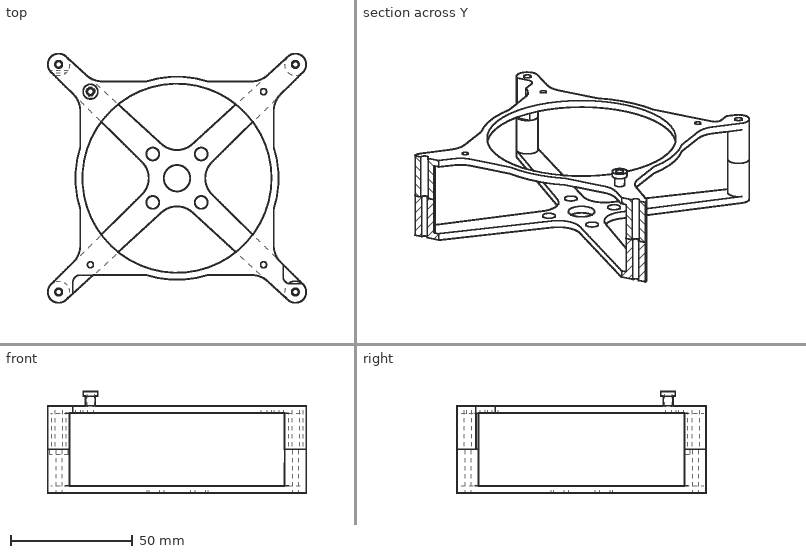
import cadquery as cq
import math

frame_height = 36.0
split_height = frame_height / 2
plate_thickness = 3.0
upper_plate_bottom = frame_height - plate_thickness
post_diameter = 9.0
post_x = 48.89
post_y = 46.99

post_clearance_diameter = 3.1
post_thread_diameter = 2.5

arm_width_at_hub_hole = 11.0
arm_width_at_post = post_diameter

hub_bore_diameter = 10.82
hub_hole_diameter = 5.2
hub_hole_offset = 10.0
hub_fillet_radius = 9.5

fan_size = 80.0
ring_bore_diameter = 78.0
ring_width = 3.0
ring_outer_diameter = ring_bore_diameter + 2 * ring_width
fan_hole_diameter = 2.5
fan_hole_offset = 71.5 / 2
arm_fillet_radius = 10.0

cable_cut_x = 43.0
clearance_x = 43.8
clearance_y = 43.6
cut_fillet_radius = 3.0
notch_y = 44.66
notch_depth = 2.0
cut_reach = 20.0

bushing_height = 6.0
bushing_head_height = 2.0
bushing_head_diameter = 6.1
bushing_shank_diameter = 4.1
bushing_bore_diameter = 3.1

corner_signs = [(sx, sy) for sx in (-1, 1) for sy in (-1, 1)]


def corner_points(x, y):
    return [(sx * x, sy * y) for sx, sy in corner_signs]


post_centers = corner_points(post_x, post_y)
hub_hole_centers = corner_points(hub_hole_offset, hub_hole_offset)
fan_hole_centers = corner_points(fan_hole_offset, fan_hole_offset)


def discs(centers, diameter, bottom, top):
    base = cq.Workplane("XY").workplane(offset=bottom)
    return base.pushPoints(centers).circle(diameter / 2).extrude(top - bottom)


def box_between(low, high):
    size = [b - a for a, b in zip(low, high)]
    return cq.Workplane("XY").box(*size, centered=False).translate(low)


def tapered_arm(hub_hole, post):
    """Flat arm tangent to the post, on the line from hub hole to post, continued to mid-plate."""
    run = math.dist(hub_hole, post)
    inner_reach = math.hypot(*hub_hole)
    taper = (arm_width_at_hub_hole - arm_width_at_post) / 2 / run
    inner_radius = arm_width_at_hub_hole / 2 + taper * inner_reach
    direction = math.atan2(post[1] - hub_hole[1], post[0] - hub_hole[0])
    inner_end = (
        hub_hole[0] - inner_reach * math.cos(direction),
        hub_hole[1] - inner_reach * math.sin(direction),
    )
    side_angle = math.acos(taper)

    def tangent_point(center, radius, side):
        angle = direction + side * side_angle
        return (center[0] + radius * math.cos(angle), center[1] + radius * math.sin(angle))

    corners = [
        tangent_point(inner_end, inner_radius, 1),
        tangent_point(post, arm_width_at_post / 2, 1),
        tangent_point(post, arm_width_at_post / 2, -1),
        tangent_point(inner_end, inner_radius, -1),
    ]
    return cq.Workplane("XY").polyline(corners).close().extrude(plate_thickness)


def add_arms(plate):
    for hub_hole, post in zip(hub_hole_centers, post_centers):
        plate = plate.union(tapered_arm(hub_hole, post))
    return plate.clean()


def make_lower_frame():
    hub = discs([(0, 0)], hub_bore_diameter, 0, plate_thickness)
    frame = add_arms(hub)
    hub_zone = cq.selectors.BoxSelector(
        (-hub_hole_offset, -hub_hole_offset, 0),
        (hub_hole_offset, hub_hole_offset, plate_thickness),
    )
    frame = frame.edges("|Z").edges(hub_zone).fillet(hub_fillet_radius)

    frame = frame.union(discs(post_centers, post_diameter, 0, split_height))
    frame = frame.cut(discs(post_centers, post_thread_diameter, 0, split_height))
    frame = frame.cut(discs(hub_hole_centers, hub_hole_diameter, 0, plate_thickness))
    frame = frame.cut(discs([(0, 0)], hub_bore_diameter, 0, plate_thickness))
    return frame.cut(make_post_notch())


def make_post_notch():
    """Shallow step in the top of the -X +Y lower post."""
    return box_between(
        (-post_x - cut_reach, notch_y - cut_reach, split_height - notch_depth),
        (-post_x + cut_reach, notch_y, split_height),
    )


def make_fan_plate():
    """Square plate with arms, blended together and widened by the round fan ring."""
    half_size = fan_size / 2
    square = cq.Workplane("XY").rect(fan_size, fan_size).extrude(plate_thickness)
    plate = add_arms(square)
    plate_zone = cq.selectors.BoxSelector(
        (-half_size - 1, -half_size - 1, 0),
        (half_size + 1, half_size + 1, plate_thickness),
    )
    plate = plate.edges("|Z").edges(plate_zone).fillet(arm_fillet_radius)
    plate = plate.union(discs([(0, 0)], ring_outer_diameter, 0, plate_thickness))
    return plate.cut(discs([(0, 0)], ring_bore_diameter, 0, plate_thickness))


def make_cable_cut():
    """Round-cornered cut beside the -X -Y arm, flush with the side of the fan."""
    cut = box_between(
        (-cable_cut_x, -fan_size / 2 - cut_reach, upper_plate_bottom),
        (-cable_cut_x + cut_reach, -fan_size / 2, frame_height),
    )
    return cut.edges("|Z and <X and >Y").fillet(cut_fillet_radius)


def make_corner_cut():
    """Round-cornered cut through the +X -Y arm that also flattens its post."""
    cut = box_between(
        (clearance_x, -clearance_y, split_height),
        (clearance_x + cut_reach, -clearance_y + cut_reach, frame_height),
    )
    return cut.edges("|Z and <X and <Y").fillet(cut_fillet_radius)


def make_post_flat():
    """Flat on the -X +Y upper post, below the plate."""
    return box_between(
        (-post_x - cut_reach, clearance_y - cut_reach, split_height),
        (-post_x + cut_reach, clearance_y, upper_plate_bottom),
    )


def make_upper_frame():
    frame = make_fan_plate().translate((0, 0, upper_plate_bottom))
    frame = frame.union(discs(post_centers, post_diameter, split_height, frame_height))
    frame = frame.cut(discs(post_centers, post_clearance_diameter, split_height, frame_height))
    frame = frame.cut(discs(fan_hole_centers, fan_hole_diameter, upper_plate_bottom, frame_height))
    return frame.cut(make_cable_cut()).cut(make_corner_cut()).cut(make_post_flat())


def make_bushing():
    """Headed bushing over the -X +Y fan hole."""
    center = [(-fan_hole_offset, fan_hole_offset)]
    top = frame_height + bushing_height
    shank = discs(center, bushing_shank_diameter, frame_height, top)
    head = discs(center, bushing_head_diameter, top - bushing_head_height, top)
    bore = discs(center, bushing_bore_diameter, frame_height, top)
    return shank.union(head).cut(bore)


lower_frame = make_lower_frame()
upper_frame = make_upper_frame()
bushing = make_bushing()

result = cq.Compound.makeCompound([lower_frame.val(), upper_frame.val(), bushing.val()])